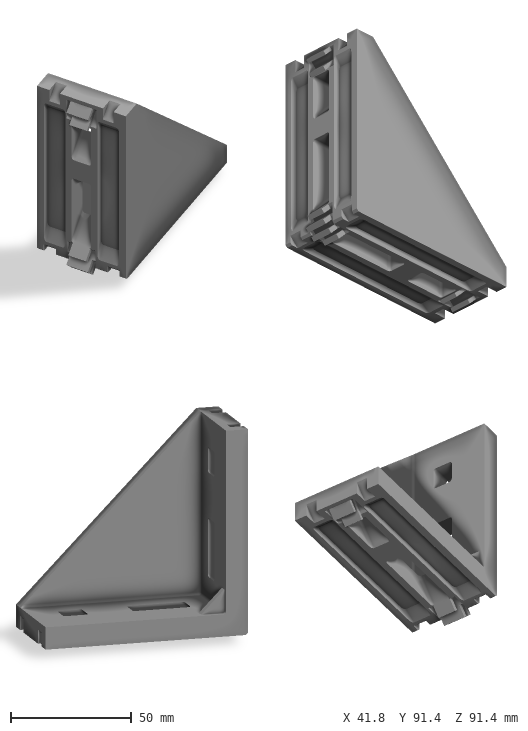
import cadquery as cq


overall = 91.4
width = 41.8
hook_reach = 3.8
leg = overall - hook_reach
thickness = 9.5
wall_thickness = 6.1
inner_radius = 1.1
corner_chamfer = 1.0

slot_width = 9.2
slot_radius = 1.1
lower_lip = 10.1
lower_slot_bottom = lower_lip + thickness
lower_slot_top = 44.7
upper_slot_bottom = 64.1
upper_slot_top = 74.8

recess_offset = 12.6
recess_width = 10.05
recess_depth = 2.9
recess_bottom = 5.9
recess_top = 79.7
recess_floor_bottom = 12.1
recess_floor_top = 75.6
recess_radius = 1.1

end_notch_width = 5.0
end_notch_depth = 5.9
corner_notch_offset = 15.0
corner_notch_width = 6.0
corner_notch_depth = 4.2

wide_hook = 10.1
narrow_hook = 8.2
end_pocket_width = 14.3
end_pocket_top = leg - 2.0
end_pocket_bottom = recess_floor_top
end_hook_height = 2.5
end_wide_reach = 3.7
end_narrow_reach = 2.8
corner_pocket_width = 13.2
corner_lip = 4.7
corner_hook_height = 3.0

rib_leg = 10.0
rib_width = 3.2
rib_inset = 2.5


def prism(points, across, x_centre=0.0):
    """Extrude a (y, z) outline along X, centred on x_centre."""
    solid = cq.Workplane("YZ").polyline(points).close().extrude(across / 2, both=True)
    return solid.translate((x_centre, 0, 0))


def rounded_prism(points, across, radius, x_centre=0.0):
    """Prism whose edges running into the flange are rounded."""
    return prism(points, across, x_centre).edges("not (|X or |Z)").fillet(radius)


def mirrored(feature):
    """Copy of an upright-flange feature for the flat flange (y and z swapped)."""
    return feature.mirror(cq.Vector(0, 1, -1))


def bracket_blank():
    """Triangular block hollowed into two flanges and a side wall."""
    outline = [(0, 0), (leg, 0), (leg, thickness), (thickness, leg), (0, leg)]
    block = prism(outline, width).edges("|X and <Y and <Z").chamfer(corner_chamfer)
    hollow = (
        cq.Workplane("XY")
        .box(width - wall_thickness, leg, leg, centered=False)
        .edges("(|X and <Y and <Z) or (|Y and >X and <Z) or (|Z and >X and <Y)")
        .fillet(inner_radius)
        .translate((-width / 2, thickness, thickness))
    )
    return block.cut(hollow)


def slot(bottom, top):
    """Screw slot; bottom and top are heights on the inner face of the flange."""
    outline = [(0, bottom - thickness), (thickness, bottom), (thickness, top), (0, top)]
    return rounded_prism(outline, slot_width, slot_radius)


def recess(x_centre):
    outline = [
        (0, recess_bottom),
        (recess_depth, recess_floor_bottom),
        (recess_depth, recess_floor_top),
        (0, recess_top),
    ]
    return rounded_prism(outline, recess_width, recess_radius, x_centre)


def end_notch(x_centre):
    outline = [(0, leg - end_notch_depth), (end_notch_depth, leg), (0, leg)]
    return prism(outline, end_notch_width, x_centre)


def corner_cut(depth, across, x_centre=0.0):
    """45 degree cut across the outer corner; it lies on both flanges."""
    return prism([(0, 0), (depth, 0), (0, depth)], across, x_centre)


def v_pocket(bottom, top, across):
    """Groove in the outer face with two 45 degree sides."""
    half = (top - bottom) / 2
    return prism([(0, bottom), (half, bottom + half), (0, top)], across)


def hook(top, height, reach, pocket_top, across):
    """Tab parallel to y = z, from the upper side of a V pocket out to y = -reach.

    top and height give its upper side and its size along Z at the outer face.
    """
    root_depth = (pocket_top - top) / 2
    half = height / 2
    outline = [
        (root_depth, top + root_depth),
        (-reach, top - reach),
        (half - reach, top - reach - half),
        (root_depth + half, top + root_depth - half),
    ]
    return prism(outline, across)


def flange_cuts():
    cuts = [
        slot(lower_slot_bottom, lower_slot_top),
        slot(upper_slot_bottom, upper_slot_top),
        v_pocket(end_pocket_bottom, end_pocket_top, end_pocket_width),
        v_pocket(corner_lip, lower_lip, corner_pocket_width),
    ]
    for side in (-1, 1):
        cuts.append(recess(side * recess_offset))
        cuts.append(end_notch(side * recess_offset))
    return cuts


def flange_hooks():
    end_narrow_top = end_pocket_bottom + end_hook_height
    return [
        hook(end_pocket_top, end_hook_height, end_wide_reach, end_pocket_top, wide_hook),
        hook(end_narrow_top, end_hook_height, end_narrow_reach, end_pocket_top, narrow_hook),
        hook(lower_lip, corner_hook_height, hook_reach, lower_lip, narrow_hook),
        hook(corner_lip, corner_hook_height, hook_reach, corner_lip, wide_hook),
    ]


def make_bracket():
    body = bracket_blank()
    for cut in flange_cuts():
        body = body.cut(cut).cut(mirrored(cut))
    body = body.cut(corner_cut(corner_lip, corner_pocket_width))
    for side in (-1, 1):
        body = body.cut(corner_cut(corner_notch_depth, corner_notch_width, side * corner_notch_offset))
    for tab in flange_hooks():
        body = body.union(tab).union(mirrored(tab))
    return body.solids()


def make_corner_rib(bracket):
    """Triangular rib seated in the inner corner, shaped to the fillet there."""
    far = thickness + rib_leg
    outline = [(thickness, thickness), (far, thickness), (thickness, far)]
    x_centre = -width / 2 + rib_inset + rib_width / 2
    return prism(outline, rib_width, x_centre).cut(bracket).solids()


bracket = make_bracket()
corner_rib = make_corner_rib(bracket)

result = cq.Compound.makeCompound([bracket.val(), corner_rib.val()])